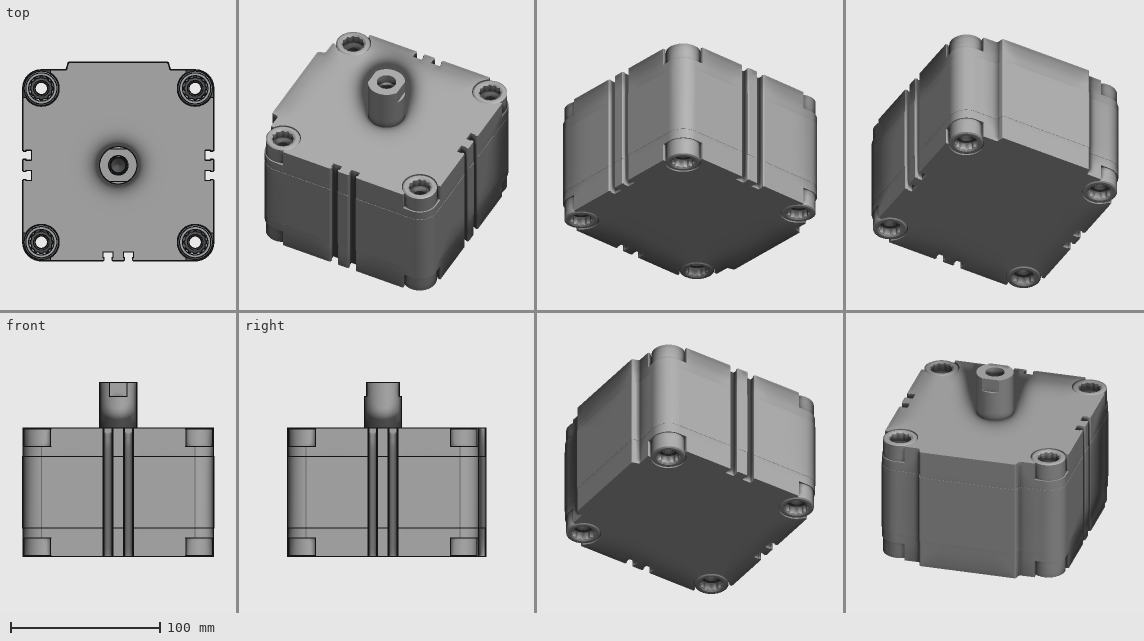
import cadquery as cq
import math

side = 128.0
half_side = side / 2
overall_depth = 133
pad_top = overall_depth - half_side
body_height = 86.2
cap_height = 19.2
cap_inset = 0.2
corner_radius = 12.5

pad_half_width_base = 34.8
pad_half_width_top = 33.5
pad_fillet = 1.2

slot_depth = 5.9
lip_thickness = 2.1
slot_middle = 6.8
slot_width = 6.5
neck_width = 5.2
lip_chamfer = 0.7

screw_offset = half_side - corner_radius
head_diameter = 23.0
head_height = 12.4
head_chamfer_width = 1.0
head_chamfer_height = 0.7
recess_diameter = 24.0
recess_corner_reach = 6.3
socket_mouth_diameter = 17.0
socket_tip_diameter = 15.4
socket_valley_diameter = socket_tip_diameter * math.cos(math.radians(30)) / math.cos(math.radians(15))
socket_chamfer_height = 1.0
socket_tooth_depth = 5.7
socket_depth = 6.9
screw_hole_diameter = 8.2
screw_hole_mouth = 10.5

rod_diameter = 25.0
rod_length = 30.3
rod_flat_width = 22.0
rod_flat_height = 9.3
rod_bore_diameter = 13.0
rod_bore_depth = 6.6
rod_seat_diameter = 11.5
rod_drill_diameter = 10.1
rod_drill_depth = 20.0
drill_point_angle = 118

rod_top = body_height + rod_length
rod_bottom = body_height - cap_height
screw_centres = [(x, y) for x in (-screw_offset, screw_offset) for y in (-screw_offset, screw_offset)]


def cone(bottom_diameter, top_diameter, bottom, top):
    """Cone or cone frustum on the Z axis between two heights."""
    return cq.Workplane(
        cq.Solid.makeCone(bottom_diameter / 2, top_diameter / 2, top - bottom, cq.Vector(0, 0, bottom))
    )


def disc(diameter, bottom, top):
    """Cylinder on the Z axis between two heights."""
    return cq.Workplane("XY").workplane(offset=bottom).circle(diameter / 2).extrude(top - bottom)


def at_slots(cutter):
    """Copies of one cutter, drawn open towards -Y, at every slot of the three slotted sides."""
    copies = cq.Workplane("XY")
    for side_angle in (0, 90, -90):
        for middle in (-slot_middle, slot_middle):
            copies = copies.add(cutter.translate((middle, 0, 0)).rotate((0, 0, 0), (0, 0, 1), side_angle))
    return copies.combine()


def t_slot():
    """One T slot, open towards -Y, over the full body height."""
    face = -half_side
    floor = face + slot_depth
    lip = face + lip_thickness
    neck = cq.Workplane("XY").rect(neck_width, 2 * slot_depth).extrude(body_height)
    groove = cq.Workplane("XY").rect(slot_width, floor - lip).extrude(body_height)
    return neck.translate((0, face, 0)).union(groove.translate((0, (floor + lip) / 2, 0)))


def slot_chamfer(face, height):
    """Wedge that chamfers both lips of one slot whose side face lies at Y = face."""
    half_neck = neck_width / 2
    half_mouth = half_neck + lip_chamfer
    return (
        cq.Workplane("XY")
        .polyline([
            (-half_mouth, face),
            (half_mouth, face),
            (half_neck, face + lip_chamfer),
            (-half_neck, face + lip_chamfer),
        ])
        .close()
        .extrude(height)
    )


def profile_block(inset, bottom, height):
    """Stretch of the body profile, made smaller all round by the inset, its slot lips chamfered."""
    edge = half_side - inset
    block = cq.Workplane("XY").rect(2 * edge, 2 * edge).extrude(height)
    block = block.edges("|Z").fillet(corner_radius - inset)
    pad = (
        cq.Workplane("XY")
        .polyline([
            (-pad_half_width_base + inset, 0),
            (-pad_half_width_base + inset, edge),
            (-pad_half_width_top + inset, pad_top - inset),
            (pad_half_width_top - inset, pad_top - inset),
            (pad_half_width_base - inset, edge),
            (pad_half_width_base - inset, 0),
        ])
        .close()
        .extrude(height)
    )
    block = block.union(pad)
    margin = pad_fillet
    pad_box = cq.selectors.BoxSelector(
        (-pad_half_width_base - margin, edge - margin, -margin),
        (pad_half_width_base + margin, pad_top + margin, height + margin),
    )
    block = block.edges("|Z").edges(pad_box).fillet(pad_fillet)
    block = block.cut(at_slots(slot_chamfer(-edge, height)))
    return block.translate((0, 0, bottom))


def corner_recess():
    """Room for one screw head on the Z axis: a round pocket opened out to the -X -Y corner."""
    bottom = body_height - head_height
    opening = cq.Workplane("XY").workplane(offset=bottom).rect(
        corner_radius + recess_corner_reach, corner_radius + recess_corner_reach
    ).extrude(head_height)
    shift = (recess_corner_reach - corner_radius) / 2
    return disc(recess_diameter, bottom, body_height).union(opening.translate((shift, shift, 0)))


def socket():
    """Twelve-point socket with a chamfered mouth, and the screw hole down to mid-height."""
    teeth_bottom = body_height - socket_tooth_depth
    floor = body_height - socket_depth
    hexagon = (
        cq.Workplane("XY").workplane(offset=teeth_bottom)
        .polygon(6, socket_tip_diameter).extrude(socket_tooth_depth)
    )
    cutter = hexagon.union(hexagon.rotate((0, 0, 0), (0, 0, 1), 30))
    cutter = cutter.union(cone(
        socket_valley_diameter, socket_mouth_diameter, body_height - socket_chamfer_height, body_height
    ))
    cutter = cutter.union(disc(socket_tip_diameter, floor, teeth_bottom))
    mouth_height = (screw_hole_mouth - screw_hole_diameter) / 2
    cutter = cutter.union(cone(screw_hole_diameter, screw_hole_mouth, floor - mouth_height, floor))
    return cutter.union(disc(screw_hole_diameter, body_height / 2, floor))


def screw_head():
    """Round screw head on the Z axis, its top level with the end cap."""
    head = disc(head_diameter, body_height - head_height, body_height - head_chamfer_height)
    return head.union(cone(
        head_diameter, head_diameter - 2 * head_chamfer_width, body_height - head_chamfer_height, body_height
    ))


def both_ends(upper):
    """A shape at the upper end of the housing and its mirror image at the lower end."""
    return upper.union(upper.mirror("XY", (0, 0, body_height / 2)))


def make_housing():
    """One-piece housing: barrel stretch, two end caps and eight fixed screw heads."""
    body = profile_block(0, cap_height, body_height - 2 * cap_height)
    body = body.union(both_ends(profile_block(cap_inset, body_height - cap_height, cap_height)))
    body = body.cut(at_slots(t_slot()))
    for x, y in screw_centres:
        corner_angle = math.degrees(math.atan2(y, x)) + 135
        recess = corner_recess().rotate((0, 0, 0), (0, 0, 1), corner_angle)
        body = body.cut(both_ends(recess).translate((x, y, 0)))
        body = body.union(both_ends(screw_head()).translate((x, y, 0)))
        body = body.cut(both_ends(socket()).translate((x, y, 0)))
    return body.cut(disc(rod_diameter, rod_bottom, body_height))


def piston_rod():
    """Rod with two wrench flats and a stepped blind bore, seated in the upper end cap."""
    rod = disc(rod_diameter, rod_bottom, rod_top)
    flat_depth = (rod_diameter - rod_flat_width) / 2
    for direction in (-1, 1):
        flat = cq.Workplane("XY").box(rod_diameter, flat_depth, rod_flat_height)
        flat_middle = direction * (rod_flat_width + flat_depth) / 2
        rod = rod.cut(flat.translate((0, flat_middle, rod_top - rod_flat_height / 2)))
    bore_floor = rod_top - rod_bore_depth
    drill_floor = rod_top - rod_drill_depth
    seat_height = (rod_seat_diameter - rod_drill_diameter) / 2
    point_height = rod_drill_diameter / 2 / math.tan(math.radians(drill_point_angle / 2))
    rod = rod.cut(disc(rod_bore_diameter, bore_floor, rod_top))
    rod = rod.cut(cone(rod_drill_diameter, rod_seat_diameter, bore_floor - seat_height, bore_floor))
    rod = rod.cut(disc(rod_drill_diameter, drill_floor, bore_floor))
    return rod.cut(cone(0, rod_drill_diameter, drill_floor - point_height, drill_floor))


housing = make_housing()
rod = piston_rod()

result = cq.Compound.makeCompound([housing.val(), rod.val()])